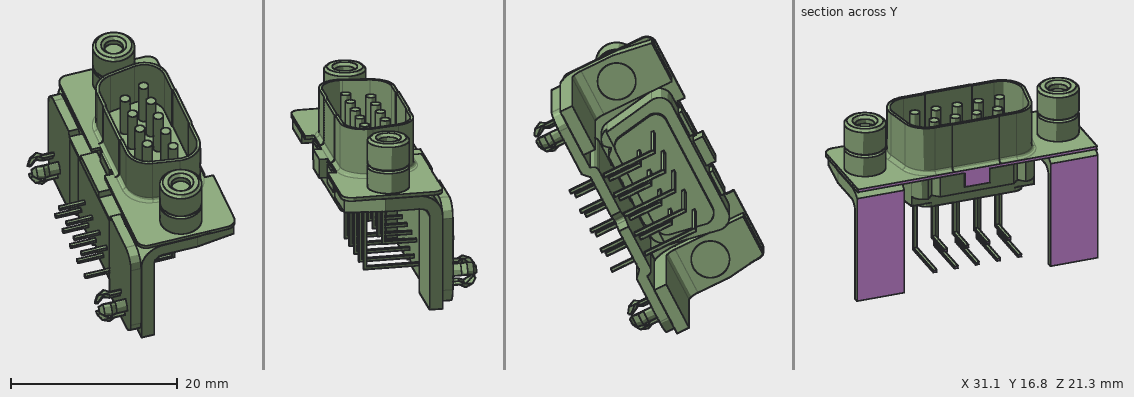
import cadquery as cq
import math


OVERALL_WIDTH = 31.1

PLATE_WIDTH = 30.9
PLATE_FRONT = -6.22
PLATE_REAR = 6.15
PLATE_TOP = 15.05
PLATE_THICKNESS = 0.45
PLATE_BOTTOM = PLATE_TOP - PLATE_THICKNESS
PLATE_CORNER_RADIUS = 1.25
REAR_NOTCH_OUTER = 6.5
REAR_NOTCH_INNER = 1.75
REAR_NOTCH_FLOOR = 5.07
NOTCH_CORNER_RADIUS = 0.2
FRONT_NOTCH_WIDTH = 4.8
FRONT_NOTCH_FLOOR = -4.97
FRONT_TAB_WIDTH = 3.25
FRONT_TAB_FACE = -5.38
REAR_CLIP_BOTTOM = 12.65
REAR_CLIP_FRONT = 4.65

BRACKET_INNER_X = 9.45
BRACKET_THICKNESS = 1.62
BRACKET_FACE = -6.03
BRACKET_REAR = 5.9
BRACKET_BEND_RADIUS = 2.8
BRACKET_TAPER_START = 1.05
BRACKET_TAPER = 0.7

SIDE_ANGLE = math.radians(10)
SHELL_TOP = 21.1
SHELL_HALF_WIDTH = 8.77
SHELL_HALF_DEPTH = 4.55
SHELL_CORNER_RADIUS = 2.92
SHELL_WALL = 0.37
SHELL_RIB_WIDTH = 6.05
SHELL_RIB_HEIGHT = 0.1
FOOT_SPREAD = 0.47
FOOT_EDGE = 0.05

PIN_PITCH = 2.75
PIN_ROW_Y = 1.4
LONG_LEAD_Y = 1.37
SHORT_LEAD_Y = -1.18
PIN_RADIUS = 0.6
PIN_TOP = 20.45
LONG_ROW_COUNT = 5
SHORT_ROW_COUNT = 4
LONG_LEAD_Z = 2.18
SHORT_LEAD_Z = 4.73
LEAD_WIDTH = 0.45
LEAD_THICKNESS = 0.35
LEAD_END = -9.75

BODY_BOTTOM = 10.65
BODY_HALF_WIDTH = 9.1
BODY_REAR = 4.88
BODY_FRONT = -4.97
BODY_UNDERCUT_FRONT = -3.67
BODY_UNDERCUT_TOP = 11.95
BODY_CORNER_RADIUS = 1.65
BASE_BOTTOM = 10.15
BASE_REAR = 3.48
BASE_SIDE_INSET = 1.55
BASE_CORNER_RADIUS = 1.4
BODY_GROOVE_X = 5.53
BODY_GROOVE_DEPTH = 0.78
LATCH_INNER_X = 2.55
LATCH_OUTER_X = 5.75
LATCH_REAR = 5.35
LATCH_BOTTOM = 12.28

PANEL_WIDTH = 30.72
PANEL_BOTTOM = 0.3
PANEL_TOP = 13.5
PANEL_FACE = -7.3
PANEL_CORNER_RADIUS = 2.02
PANEL_MIDDLE_BACK = -5.22
PANEL_BACK_RADIUS = 0.78
TOP_NOTCH_FLOOR = 12.72
TOP_NOTCH_INNER = 3.48
TOP_NOTCH_OUTER = 7.6
TOP_NOTCH_SLOPE = 0.15
POCKET_WIDTH = 14.6
POCKET_TOP = 12.45
POCKET_DEPTH = 0.78
POCKET_SIDE_SLOPE = 0.8
POCKET_TOP_SLOPE = 0.9
BOTTOM_NOTCH_HALF_WIDTH = 1.05
BOTTOM_NOTCH_ROUND = 0.47

SCREW_X = 12.47
SCREW_TOP = 21.3
SCREW_RADIUS = 2.52
SCREW_CHAMFER = 0.35
SCREW_GROOVE_BOTTOM = 17.6
SCREW_GROOVE_TOP = 18.0
SCREW_GROOVE_RADIUS = 2.27
SCREW_HOLE_RADIUS = 1.15
SCREW_HOLE_DEPTH = 0.95
SCREW_COUNTERSINK = 0.37
RIVET_RADIUS = 2.3
RIVET_BOTTOM = 12.9

LOCK_Z = 3.48
LOCK_PRONG_COUNT = 3
LOCK_PRONG_WIDTH = 1.5
LOCK_TIP_WIDTH = 0.55
LOCK_STEM_RADIUS = 1.62
LOCK_BARB_RADIUS = 2.0
LOCK_STEM_BORE = 1.18
LOCK_BARB_BORE = 1.55
LOCK_WIDEST_RADIUS = 1.37
LOCK_SHOULDER_RADIUS = 1.6
LOCK_TIP_RADIUS = 0.9
LOCK_TIP_BORE = 0.65
LOCK_STEM_END = -8.65
LOCK_BARB_Y = -9.33
LOCK_SHOULDER_Y = -10.17
LOCK_TIP_BORE_Y = -10.35
LOCK_END = -10.63


def box(x_range, y_range, z_range):
    """Axis-aligned block given by its limits."""
    limits = (x_range, y_range, z_range)
    sizes = [high - low for low, high in limits]
    corner = tuple(low for low, high in limits)
    return cq.Workplane("XY").box(*sizes, centered=False).translate(corner)


def centered_box(width, y_range, z_range):
    return box((-width / 2, width / 2), y_range, z_range)


def front_profile(points, y_front, y_back):
    """Extrude an outline of (x, z) points between two Y positions."""
    outline = cq.Workplane("XZ", origin=(0, y_back, 0)).polyline(points).close()
    return outline.extrude(y_back - y_front)


def on_both_sides(shape):
    """The shape together with its mirror image across X = 0."""
    return shape.union(shape.mirror("YZ"))


def d_prism(half_width, front, rear, corner_radius, bottom, top, inset=0.0):
    """D-shaped prism, wider at the rear; inset moves its whole outline inward."""
    rear_x = half_width - corner_radius
    core_depth = rear - front - 2 * corner_radius
    front_x = rear_x - core_depth * math.tan(SIDE_ANGLE)
    front_y = front + corner_radius
    rear_y = rear - corner_radius
    core = [(-rear_x, rear_y), (-front_x, front_y), (front_x, front_y), (rear_x, rear_y)]
    outline = cq.Workplane("XY", origin=(0, 0, bottom)).polyline(core).close()
    return outline.offset2D(corner_radius - inset).extrude(top - bottom)


def make_plate():
    plate = centered_box(PLATE_WIDTH, (PLATE_FRONT, PLATE_REAR), (PLATE_BOTTOM, PLATE_TOP))
    plate = plate.edges("|Z").fillet(PLATE_CORNER_RADIUS)
    rear_notch = box(
        (REAR_NOTCH_INNER, REAR_NOTCH_OUTER),
        (REAR_NOTCH_FLOOR, PLATE_REAR),
        (PLATE_BOTTOM, PLATE_TOP),
    )
    rear_notch = rear_notch.edges("|Z and <Y").fillet(NOTCH_CORNER_RADIUS)
    plate = plate.cut(on_both_sides(rear_notch))
    front_notch = centered_box(
        FRONT_NOTCH_WIDTH, (PLATE_FRONT, FRONT_NOTCH_FLOOR), (PLATE_BOTTOM, PLATE_TOP)
    )
    front_notch = front_notch.edges("|Z and >Y").fillet(NOTCH_CORNER_RADIUS)
    front_tab = centered_box(
        FRONT_TAB_WIDTH, (FRONT_TAB_FACE, FRONT_NOTCH_FLOOR), (TOP_NOTCH_FLOOR, PLATE_TOP)
    )
    rear_clip = centered_box(
        2 * REAR_NOTCH_INNER, (REAR_CLIP_FRONT, PLATE_REAR), (REAR_CLIP_BOTTOM, PLATE_TOP)
    )
    return plate.cut(front_notch).union(front_tab).union(rear_clip)


def make_bracket():
    outer_x = OVERALL_WIDTH / 2
    inner_bend_radius = BRACKET_BEND_RADIUS - BRACKET_THICKNESS
    leg_back = BRACKET_FACE + BRACKET_THICKNESS
    arm_bottom = PLATE_BOTTOM - BRACKET_THICKNESS
    bend_y = BRACKET_FACE + BRACKET_BEND_RADIUS
    bend_z = PLATE_BOTTOM - BRACKET_BEND_RADIUS
    bracket = (
        cq.Workplane("YZ", origin=(BRACKET_INNER_X, 0, 0))
        .moveTo(BRACKET_FACE, 0)
        .lineTo(BRACKET_FACE, bend_z)
        .radiusArc((bend_y, PLATE_BOTTOM), BRACKET_BEND_RADIUS)
        .lineTo(BRACKET_REAR, PLATE_BOTTOM)
        .lineTo(BRACKET_REAR, arm_bottom)
        .lineTo(bend_y, arm_bottom)
        .radiusArc((leg_back, bend_z), -inner_bend_radius)
        .lineTo(leg_back, 0)
        .close()
        .extrude(outer_x - BRACKET_INNER_X)
    )
    taper = (
        cq.Workplane("XY", origin=(0, 0, arm_bottom))
        .polyline([
            (outer_x, BRACKET_TAPER_START),
            (outer_x, BRACKET_REAR),
            (outer_x - BRACKET_TAPER, BRACKET_REAR),
        ])
        .close()
        .extrude(BRACKET_THICKNESS)
    )
    return bracket.cut(taper)


def make_shell():
    def shell_prism(half_depth, bottom, inset=0.0):
        return d_prism(
            SHELL_HALF_WIDTH, -half_depth, half_depth, SHELL_CORNER_RADIUS, bottom, SHELL_TOP, inset
        )

    def flared_wall(half_depth):
        """Hollow shell rising with a concave flare from a wider pad sunk in the plate."""
        pad_inset = -FOOT_SPREAD - FOOT_EDGE
        above_pad = centered_box(OVERALL_WIDTH, (PLATE_FRONT, PLATE_REAR), (PLATE_TOP, SHELL_TOP))
        pad = shell_prism(half_depth, PLATE_BOTTOM, pad_inset).cut(above_pad)
        wall = pad.union(shell_prism(half_depth, PLATE_BOTTOM))
        pad_top = wall.faces("|Z").faces(cq.selectors.NearestToPointSelector((0, half_depth, PLATE_TOP)))
        root = pad_top.wires(cq.selectors.LengthNthSelector(0))
        wall = wall.newObject(root.edges().vals()).fillet(FOOT_SPREAD)
        return wall.cut(shell_prism(half_depth, PLATE_TOP, SHELL_WALL))

    rib_half_depth = SHELL_HALF_DEPTH + SHELL_RIB_HEIGHT
    rib_zone = centered_box(SHELL_RIB_WIDTH, (PLATE_FRONT, PLATE_REAR), (PLATE_BOTTOM, SHELL_TOP))
    plain_wall = flared_wall(SHELL_HALF_DEPTH).cut(rib_zone)
    return plain_wall.union(flared_wall(rib_half_depth).intersect(rib_zone))


def make_insulator():
    body = d_prism(BODY_HALF_WIDTH, BODY_FRONT, BODY_REAR, BODY_CORNER_RADIUS, BODY_BOTTOM, PLATE_BOTTOM)
    undercut = centered_box(
        2 * BODY_HALF_WIDTH, (BODY_FRONT, BODY_UNDERCUT_FRONT), (BODY_BOTTOM, BODY_UNDERCUT_TOP)
    )
    groove = (
        cq.Workplane("XY", origin=(0, 0, BODY_UNDERCUT_TOP))
        .polyline([
            (BODY_GROOVE_X - BODY_GROOVE_DEPTH, BODY_FRONT),
            (BODY_GROOVE_X, BODY_FRONT + BODY_GROOVE_DEPTH),
            (BODY_GROOVE_X + BODY_GROOVE_DEPTH, BODY_FRONT),
        ])
        .close()
        .extrude(PLATE_BOTTOM - BODY_UNDERCUT_TOP)
    )
    base = d_prism(
        BODY_HALF_WIDTH - BASE_SIDE_INSET,
        BODY_UNDERCUT_FRONT,
        BASE_REAR,
        BASE_CORNER_RADIUS,
        BASE_BOTTOM,
        BODY_BOTTOM,
    )
    latch = box((LATCH_INNER_X, LATCH_OUTER_X), (0, LATCH_REAR), (LATCH_BOTTOM, PLATE_BOTTOM))
    return body.cut(undercut).cut(on_both_sides(groove)).union(base).union(on_both_sides(latch))


def make_panel():
    height = (PANEL_BOTTOM, PANEL_TOP)
    panel = centered_box(PANEL_WIDTH, (PANEL_FACE, BRACKET_FACE), height)
    panel = panel.edges("|Y").fillet(PANEL_CORNER_RADIUS)
    middle = centered_box(2 * TOP_NOTCH_OUTER, (PANEL_FACE, PANEL_MIDDLE_BACK), height)
    panel = panel.union(middle.edges("|Z and >Y").fillet(PANEL_BACK_RADIUS))

    top_notch = front_profile(
        [
            (TOP_NOTCH_INNER, TOP_NOTCH_FLOOR),
            (TOP_NOTCH_OUTER, TOP_NOTCH_FLOOR),
            (TOP_NOTCH_OUTER + TOP_NOTCH_SLOPE, PANEL_TOP),
            (TOP_NOTCH_INNER - TOP_NOTCH_SLOPE, PANEL_TOP),
        ],
        PANEL_FACE,
        PANEL_MIDDLE_BACK,
    )
    bottom_notch = front_profile(
        [
            (-BOTTOM_NOTCH_HALF_WIDTH, PANEL_BOTTOM),
            (0, PANEL_BOTTOM + BOTTOM_NOTCH_HALF_WIDTH),
            (BOTTOM_NOTCH_HALF_WIDTH, PANEL_BOTTOM),
        ],
        PANEL_FACE,
        PANEL_MIDDLE_BACK,
    )
    bottom_notch = bottom_notch.edges("|Y and >Z").fillet(BOTTOM_NOTCH_ROUND)

    def pocket_outline(half_width, top):
        return [(-half_width, 0), (-half_width, top), (half_width, top), (half_width, 0)]

    pocket = (
        cq.Workplane("XZ", origin=(0, PANEL_FACE, 0))
        .polyline(pocket_outline(POCKET_WIDTH / 2, POCKET_TOP))
        .close()
        .workplane(offset=-POCKET_DEPTH)
        .polyline(pocket_outline(POCKET_WIDTH / 2 - POCKET_SIDE_SLOPE, POCKET_TOP - POCKET_TOP_SLOPE))
        .close()
        .loft(ruled=True)
    )
    return panel.cut(on_both_sides(top_notch)).cut(bottom_notch).cut(pocket)


def make_contact(x, row_y, lead_y, lead_z):
    """Round pin inside the shell with its lead bent forward through the panel."""
    pin = cq.Workplane("XY", origin=(x, row_y, BODY_BOTTOM)).circle(PIN_RADIUS).extrude(PIN_TOP - BODY_BOTTOM)
    width = (x - LEAD_WIDTH / 2, x + LEAD_WIDTH / 2)
    half_thickness = LEAD_THICKNESS / 2
    lead_y_range = (lead_y - half_thickness, lead_y + half_thickness)
    lead_z_range = (lead_z - half_thickness, lead_z + half_thickness)
    drop = box(width, lead_y_range, (lead_z - half_thickness, BODY_BOTTOM))
    tail = box(width, (LEAD_END, lead_y), lead_z_range)
    return pin.union(drop).union(tail)


def make_contacts():
    contacts = cq.Workplane("XY")
    rows = [
        (LONG_ROW_COUNT, PIN_ROW_Y, LONG_LEAD_Y, LONG_LEAD_Z),
        (SHORT_ROW_COUNT, -PIN_ROW_Y, SHORT_LEAD_Y, SHORT_LEAD_Z),
    ]
    for count, row_y, lead_y, lead_z in rows:
        for index in range(count):
            x = (index - (count - 1) / 2) * PIN_PITCH
            contacts = contacts.union(make_contact(x, row_y, lead_y, lead_z))
    return contacts


def make_screw():
    """Jack screw turned about its axis, with a grooved head and a riveted end below the bracket."""
    groove_middle = (SCREW_GROOVE_BOTTOM + SCREW_GROOVE_TOP) / 2
    profile = [
        (0, RIVET_BOTTOM),
        (RIVET_RADIUS, RIVET_BOTTOM),
        (RIVET_RADIUS, PLATE_TOP),
        (SCREW_RADIUS, PLATE_TOP),
        (SCREW_RADIUS, SCREW_GROOVE_BOTTOM),
        (SCREW_GROOVE_RADIUS, groove_middle),
        (SCREW_RADIUS, SCREW_GROOVE_TOP),
        (SCREW_RADIUS, SCREW_TOP - SCREW_CHAMFER),
        (SCREW_RADIUS - SCREW_CHAMFER, SCREW_TOP),
        (SCREW_HOLE_RADIUS + SCREW_COUNTERSINK, SCREW_TOP),
        (SCREW_HOLE_RADIUS, SCREW_TOP - SCREW_COUNTERSINK),
        (SCREW_HOLE_RADIUS, SCREW_TOP - SCREW_HOLE_DEPTH),
        (0, SCREW_TOP - SCREW_HOLE_DEPTH),
    ]
    screw = cq.Workplane("XZ").polyline(profile).close().revolve(360, (0, 0), (0, 1))
    return screw.translate((SCREW_X, 0, 0))


def make_board_lock():
    """Ring of barbed prongs about an axis along Y."""
    profile = [
        (LOCK_STEM_BORE, BRACKET_FACE),
        (LOCK_STEM_RADIUS, BRACKET_FACE),
        (LOCK_STEM_RADIUS, LOCK_STEM_END),
        (LOCK_BARB_RADIUS, LOCK_BARB_Y),
        (LOCK_SHOULDER_RADIUS, LOCK_SHOULDER_Y),
        (LOCK_TIP_RADIUS, LOCK_END),
        (LOCK_TIP_BORE, LOCK_TIP_BORE_Y),
        (LOCK_BARB_BORE, LOCK_BARB_Y),
        (LOCK_STEM_BORE, LOCK_STEM_END),
    ]
    ring = cq.Workplane("XY").polyline(profile).close().revolve(360, (0, 0), (0, 1))
    half_width = LOCK_PRONG_WIDTH / 2
    half_tip = LOCK_TIP_WIDTH / 2
    sector = front_profile(
        [
            (-half_tip, -LOCK_TIP_BORE),
            (-half_width, -LOCK_WIDEST_RADIUS),
            (-half_width, -LOCK_BARB_RADIUS),
            (half_width, -LOCK_BARB_RADIUS),
            (half_width, -LOCK_WIDEST_RADIUS),
            (half_tip, -LOCK_TIP_BORE),
        ],
        LOCK_END,
        BRACKET_FACE,
    )
    prong = ring.intersect(sector)
    lock = cq.Workplane("XY")
    for index in range(LOCK_PRONG_COUNT):
        lock = lock.union(prong.rotate((0, 0, 0), (0, 1, 0), index * 360 / LOCK_PRONG_COUNT))
    return lock.translate((SCREW_X, 0, LOCK_Z))


side_parts = make_bracket().union(make_screw()).union(make_board_lock())
result = (
    make_plate()
    .union(make_insulator())
    .union(make_panel())
    .union(on_both_sides(side_parts))
    .union(make_shell())
    .union(make_contacts())
)